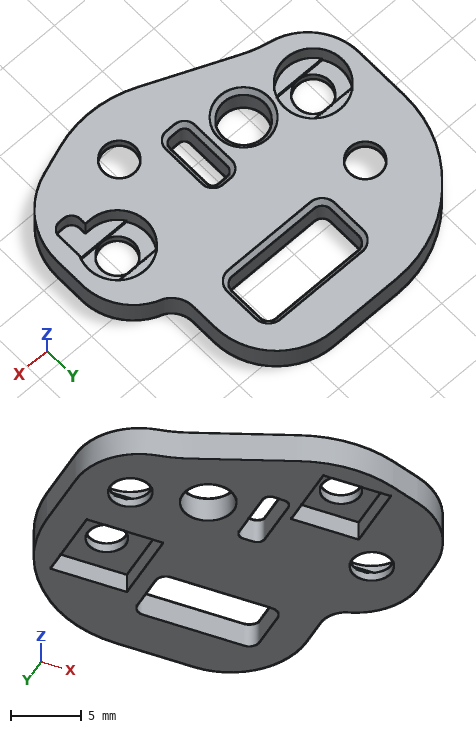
import cadquery as cq
import math

LENGTH = 27.1
WIDTH = 24.58
THICKNESS = 2.4

LARGE_RADIUS = 10.0
SIDE_RADIUS = 4.99
TOP_RIGHT_RADIUS = 6.0
LOWER_RIGHT_RADIUS = 6.12
BEVEL_START_Y = 18.37
SHOULDER_X = 22.5
SHOULDER_TOP = (SHOULDER_X, 16.31)
SHOULDER_END = (23.58, 14.5)
LEFT_EDGE_BOTTOM = 9.5
RIGHT_EDGE_TOP = 10.03
LOWER_LEFT_END = (4.1, 4.58)
LOWER_SLOPE_START = (6.42, 3.85)
BOTTOM_ARC_X = 17.4
LOWER_SLOPE_ANGLE = 24.0
LOWER_RISE_ANGLE = 19.4

SCREW_SPACING = 19.0
SCREW_Y = 9.1
LEFT_SCREW = (4.1, SCREW_Y)
RIGHT_SCREW = (LEFT_SCREW[0] + SCREW_SPACING, SCREW_Y)
SCREW_DIAMETER = 3.15
BORE_DIAMETER = 5.6
BORE_DEPTH = 1.5
STEP_DEPTH = 0.2

TAIL_LEFT = 23.6
TAIL_RIGHT = 25.65
TAIL_BOTTOM = 4.93
TAIL_RADIUS = 0.8

NUT_HOLE_DIAMETER = 3.0
NUT_HOLE_DEPTH = 0.8
UPPER_NUT_HOLE = (5.58, 16.12)
UPPER_NUT_WIDTH = 6.02
LOWER_NUT_HOLE = (18.32, 4.17)
LOWER_NUT_WIDTH = 5.3

CHAMFER = 0.4
ROUND_OPENING = (9.57, 7.72)
ROUND_OPENING_DIAMETER = 4.0
WINDOW_CENTER = (14.7, 18.62)
WINDOW_SIZE = (9.6, 4.58)
WINDOW_RADIUS = 0.8
SLOT_CENTER = (13.93, 7.72)
SLOT_SIZE = (2.0, 5.05)
SLOT_RADIUS = 0.6


def make_plate():
    diagonal = math.sqrt(0.5)
    bevel_tangent = LARGE_RADIUS * math.tan(math.radians(22.5))
    bevel_inset = bevel_tangent * diagonal
    bevel_end_x = WIDTH - BEVEL_START_Y
    slope = math.radians(LOWER_SLOPE_ANGLE)
    rise = math.radians(LOWER_RISE_ANGLE)
    bottom_start = (
        BOTTOM_ARC_X - LARGE_RADIUS * math.sin(slope),
        LARGE_RADIUS * (1 - math.cos(slope)),
    )
    bottom_end = (
        BOTTOM_ARC_X + LARGE_RADIUS * math.sin(rise),
        LARGE_RADIUS * (1 - math.cos(rise)),
    )
    rise_end_x = LENGTH - LOWER_RIGHT_RADIUS * (1 - math.sin(rise))
    rise_end_y = bottom_end[1] + (rise_end_x - bottom_end[0]) * math.tan(rise)
    right_edge_bottom = rise_end_y + LOWER_RIGHT_RADIUS * math.cos(rise)
    return (
        cq.Workplane("XY")
        .moveTo(0, LEFT_EDGE_BOTTOM)
        .lineTo(0, BEVEL_START_Y - bevel_tangent)
        .tangentArcPoint((bevel_inset, BEVEL_START_Y + bevel_inset), relative=False)
        .lineTo(bevel_end_x - bevel_inset, WIDTH - bevel_inset)
        .tangentArcPoint((bevel_end_x + bevel_tangent, WIDTH), relative=False)
        .lineTo(SHOULDER_X - TOP_RIGHT_RADIUS, WIDTH)
        .radiusArc((SHOULDER_X, WIDTH - TOP_RIGHT_RADIUS), TOP_RIGHT_RADIUS)
        .lineTo(*SHOULDER_TOP)
        .tangentArcPoint(SHOULDER_END, relative=False)
        .radiusArc((LENGTH, RIGHT_EDGE_TOP), SIDE_RADIUS)
        .lineTo(LENGTH, right_edge_bottom)
        .radiusArc((rise_end_x, rise_end_y), LOWER_RIGHT_RADIUS)
        .lineTo(*bottom_end)
        .radiusArc(bottom_start, LARGE_RADIUS)
        .lineTo(*LOWER_SLOPE_START)
        .radiusArc(LOWER_LEFT_END, -LARGE_RADIUS)
        .radiusArc((0, LEFT_EDGE_BOTTOM), SIDE_RADIUS)
        .close()
        .extrude(THICKNESS)
    )


def top_plane(center):
    return cq.Workplane("XY", origin=(center[0], center[1], THICKNESS))


def screw_hole_cutter(center):
    """Counterbore, stepped strip across its floor and through hole."""
    bore = top_plane(center).circle(BORE_DIAMETER / 2).extrude(-BORE_DEPTH)
    step = top_plane(center).circle(BORE_DIAMETER / 2).extrude(-BORE_DEPTH - STEP_DEPTH)
    strip = top_plane(center).rect(BORE_DIAMETER, SCREW_DIAMETER).extrude(-THICKNESS)
    hole = top_plane(center).circle(SCREW_DIAMETER / 2).extrude(-THICKNESS)
    return bore.union(step.intersect(strip)).union(hole)


def tail_cutter():
    """Round-ended pocket, as deep as the bore, joined to it on its lower side."""
    bore_bottom = SCREW_Y - BORE_DIAMETER / 2
    joint = (
        top_plane((0, 0))
        .moveTo(RIGHT_SCREW[0], SCREW_Y)
        .lineTo(RIGHT_SCREW[0], bore_bottom)
        .lineTo(TAIL_RIGHT, bore_bottom)
        .lineTo(TAIL_RIGHT, SCREW_Y)
        .close()
        .extrude(-BORE_DEPTH)
    )
    tail = (
        top_plane(((TAIL_LEFT + TAIL_RIGHT) / 2, (TAIL_BOTTOM + SCREW_Y) / 2))
        .rect(TAIL_RIGHT - TAIL_LEFT, SCREW_Y - TAIL_BOTTOM)
        .extrude(-BORE_DEPTH)
        .edges("|Z and <Y")
        .fillet(TAIL_RADIUS)
    )
    return joint.union(tail)


def nut_hole_cutter(center, nut_width):
    hole = top_plane(center).circle(NUT_HOLE_DIAMETER / 2).extrude(-THICKNESS)
    pocket = (
        cq.Workplane("XY", origin=(*center, 0))
        .rect(nut_width, nut_width)
        .extrude(THICKNESS - NUT_HOLE_DEPTH)
    )
    return hole.union(pocket)


def chamfered_cutter(center, size, radius):
    """Rounded opening flared at 45 degrees towards the top face."""
    width, height = size
    cutter = top_plane(center).rect(width, height).extrude(-THICKNESS).edges("|Z").fillet(radius)
    flare = (
        top_plane(center)
        .sketch()
        .rect(width + 2 * CHAMFER, height + 2 * CHAMFER)
        .vertices()
        .fillet(radius + CHAMFER)
        .finalize()
        .extrude(-CHAMFER, taper=45)
    )
    return cutter.union(flare)


def round_chamfered_cutter(center, diameter):
    """Round hole flared at 45 degrees towards the top face."""
    radius = diameter / 2
    hole = top_plane(center).circle(radius).extrude(-THICKNESS)
    flare = top_plane(center).circle(radius + CHAMFER).extrude(-CHAMFER, taper=45)
    return hole.union(flare)


cutters = [
    screw_hole_cutter(LEFT_SCREW),
    screw_hole_cutter(RIGHT_SCREW),
    tail_cutter(),
    nut_hole_cutter(UPPER_NUT_HOLE, UPPER_NUT_WIDTH),
    nut_hole_cutter(LOWER_NUT_HOLE, LOWER_NUT_WIDTH),
    round_chamfered_cutter(ROUND_OPENING, ROUND_OPENING_DIAMETER),
    chamfered_cutter(WINDOW_CENTER, WINDOW_SIZE, WINDOW_RADIUS),
    chamfered_cutter(SLOT_CENTER, SLOT_SIZE, SLOT_RADIUS),
]

result = make_plate()
for cutter in cutters:
    result = result.cut(cutter)